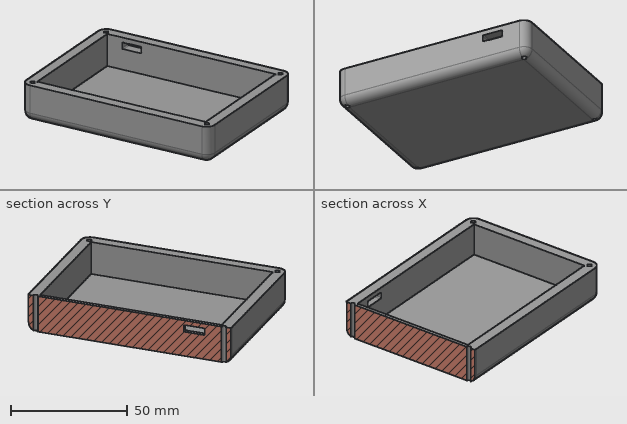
import cadquery as cq

length = 94.0
width = 69.0
height = 17.0
edge_radius = 4.0
wall = 5.0
floor_thickness = 2.0
cavity_depth = height - floor_thickness

hole_diameter = 2.0
hole_inset = 3.5

slot_length = 9.5
slot_height = 3.0
slot_end_gap = 7.4
slot_rim_gap = 2.35
slot_corner_radius = 0.5
slot_center_x = -length / 2 + wall + slot_end_gap + slot_length / 2
slot_center_z = height - slot_rim_gap - slot_height / 2


def make_shell():
    """Block with rounded vertical and bottom edges."""
    block = cq.Workplane("XY").box(length, width, height, centered=(True, True, False))
    return block.edges("|Z").fillet(edge_radius).faces("<Z").edges().fillet(edge_radius)


def cut_cavity(body):
    """Open the shell from the top, leaving sharp inner corners."""
    cavity = (
        cq.Workplane("XY")
        .workplane(offset=floor_thickness)
        .rect(length - 2 * wall, width - 2 * wall)
        .extrude(cavity_depth)
    )
    return body.cut(cavity)


def cut_screw_holes(body):
    """Drill one through hole at each corner of the rim."""
    holes = (
        cq.Workplane("XY")
        .rect(length - 2 * hole_inset, width - 2 * hole_inset, forConstruction=True)
        .vertices()
        .circle(hole_diameter / 2)
        .extrude(height)
    )
    return body.cut(holes)


def cut_cable_slot(body):
    """Cut the rounded-corner opening through the +Y wall only."""
    slot = (
        cq.Workplane("XZ", origin=(slot_center_x, width / 2, slot_center_z))
        .rect(slot_length, slot_height)
        .extrude(wall)
        .edges("|Y")
        .fillet(slot_corner_radius)
    )
    return body.cut(slot)


shell = make_shell()
tray = cut_cavity(shell)
drilled_tray = cut_screw_holes(tray)
result = cut_cable_slot(drilled_tray).val()